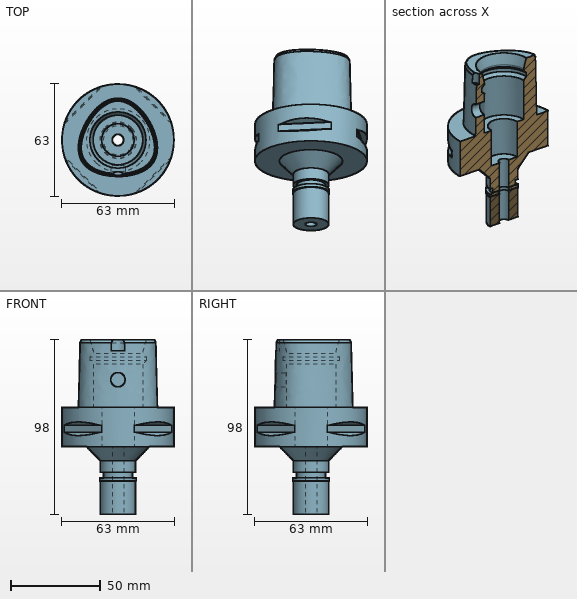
import cadquery as cq
import math

overall_height = 98.0
chamfer_start_z = 96.4
flange_top_z = 60.1
flange_bottom_z = 38.0
cone_bottom_z = 30.1
collar_bottom_z = 23.5
ring_top_z = 20.5
ring_bottom_z = 18.4

flange_diameter = 63.0
flange_radius = flange_diameter / 2
cone_top_radius = 17.7
pin_radius = 10.0
neck_radius = 8.2
ring_radius = 10.3
coolant_radius = 3.1
cone_mouth_radius = 15.8
bore_radius = 13.9
thread_radius = 9.1

ring_chamfer = ring_radius - pin_radius

shank_base_radius = 22.05
lobe_height = 1.5
taper_per_side = 1 / 40
rim_chamfer_width = 0.8
outline_points = 36

mouth_bottom_z = 91.7
groove_top_z = 90.4
groove_depth = 1.9
groove_height = 5.9
bore_floor_z = flange_top_z
thread_floor_z = flange_bottom_z

notch_radius = 4.9
notch_floor_y = -17.8
notch_bottom_z = 91.7
side_hole_radius = 4.0
side_hole_z = 75.6
side_hole_floor_y = -14.2

slot_count = 4
slot_first_angle = 45.0
slot_height = 4.1
slot_mid_z = 48.0
slot_floor_distance = 27.7
slot_ledge_distance = 28.4
slot_bevel_angle = 30.0


def lobed_wire(mean_radius, z):
    """Closed three-lobed outline at height z, starting in the middle of the flat side on -Y."""

    def point(angle):
        x = mean_radius * math.sin(angle) - lobe_height * math.sin(2 * angle)
        y = mean_radius * math.cos(angle) + lobe_height * math.cos(2 * angle)
        return cq.Vector(x, y, z)

    step = 2 * math.pi / outline_points
    points = [point(math.pi + index * step) for index in range(outline_points)]
    return cq.Wire.assembleEdges([cq.Edge.makeSpline(points, periodic=True)])


def make_shank():
    """Tapered lobed shank with a chamfered top rim."""
    chamfer_radius = shank_base_radius - taper_per_side * (chamfer_start_z - flange_top_z)
    base = lobed_wire(shank_base_radius, flange_top_z)
    chamfer_start = lobed_wire(chamfer_radius, chamfer_start_z)
    rim = lobed_wire(chamfer_radius - rim_chamfer_width, overall_height)
    taper = cq.Solid.makeLoft([base, chamfer_start], True)
    chamfer = cq.Solid.makeLoft([chamfer_start, rim], True)
    return cq.Workplane(taper).union(cq.Workplane(chamfer))


def make_flange_and_neck():
    """Turned flange, cone, collar and neck below the shank."""
    return (
        cq.Workplane("XZ")
        .moveTo(0, flange_top_z)
        .lineTo(flange_radius, flange_top_z)
        .lineTo(flange_radius, flange_bottom_z)
        .lineTo(cone_top_radius, flange_bottom_z)
        .lineTo(pin_radius, cone_bottom_z)
        .lineTo(pin_radius, collar_bottom_z)
        .lineTo(neck_radius, collar_bottom_z)
        .lineTo(neck_radius, ring_top_z)
        .lineTo(0, ring_top_z)
        .close()
        .revolve(360, (0, 0), (0, 1))
    )


def make_stepped_bore():
    """Turned hollow: tapered mouth, clamping groove, bore, thread bore and coolant hole."""
    groove_radius = bore_radius + groove_depth
    groove_bottom_z = groove_top_z - groove_height
    return (
        cq.Workplane("XZ")
        .moveTo(0, overall_height)
        .lineTo(cone_mouth_radius, overall_height)
        .lineTo(bore_radius, mouth_bottom_z)
        .lineTo(bore_radius, groove_top_z)
        .lineTo(groove_radius, groove_top_z - groove_depth)
        .lineTo(groove_radius, groove_bottom_z + groove_depth)
        .lineTo(bore_radius, groove_bottom_z)
        .lineTo(bore_radius, bore_floor_z)
        .lineTo(thread_radius, bore_floor_z)
        .lineTo(thread_radius, thread_floor_z)
        .lineTo(coolant_radius, thread_floor_z)
        .lineTo(coolant_radius, ring_top_z)
        .lineTo(0, ring_top_z)
        .close()
        .revolve(360, (0, 0), (0, 1))
    )


def make_notch():
    """Round-bottomed keyway open to the top rim."""
    return (
        cq.Workplane("XY", origin=(0, notch_floor_y - notch_radius, notch_bottom_z))
        .circle(notch_radius)
        .extrude(overall_height - notch_bottom_z)
    )


def make_side_hole():
    """Blind round hole entering the shank from -Y."""
    return (
        cq.Workplane("XZ", origin=(0, side_hole_floor_y, side_hole_z))
        .circle(side_hole_radius)
        .extrude(flange_radius + side_hole_floor_y)
    )


def make_gripper_slot(angle):
    """Straight slot across the flange: flat floor, short ledges, then bevels opening outward."""
    half_floor = slot_height / 2
    bevel_rise = (flange_radius - slot_ledge_distance) * math.tan(math.radians(slot_bevel_angle))
    half_mouth = half_floor + bevel_rise
    slot = (
        cq.Workplane("XZ", origin=(0, 0, slot_mid_z))
        .moveTo(slot_floor_distance, -half_floor)
        .lineTo(slot_ledge_distance, -half_floor)
        .lineTo(flange_radius, -half_mouth)
        .lineTo(flange_radius, half_mouth)
        .lineTo(slot_ledge_distance, half_floor)
        .lineTo(slot_floor_distance, half_floor)
        .close()
        .extrude(flange_radius, both=True)
    )
    return slot.rotate((0, 0, 0), (0, 0, 1), angle)


def make_holder():
    """Shank, flange and neck in one piece."""
    holder = make_flange_and_neck().union(make_shank())
    holder = holder.cut(make_stepped_bore())
    holder = holder.cut(make_notch())
    holder = holder.cut(make_side_hole())
    for index in range(slot_count):
        angle = slot_first_angle + index * 360 / slot_count
        holder = holder.cut(make_gripper_slot(angle))
    return holder


def make_ring():
    """Collar ring below the neck, chamfered down to the pin."""
    return (
        cq.Workplane("XY", origin=(0, 0, ring_bottom_z))
        .circle(ring_radius)
        .extrude(ring_top_z - ring_bottom_z)
        .faces("<Z")
        .chamfer(ring_chamfer)
        .faces(">Z")
        .workplane()
        .hole(2 * coolant_radius)
    )


def make_pin():
    """Hollow round pin below the ring."""
    return cq.Workplane("XY").circle(pin_radius).circle(coolant_radius).extrude(ring_bottom_z)


holder = make_holder()
ring = make_ring()
pin = make_pin()

result = cq.Compound.makeCompound([holder.solids().val(), ring.solids().val(), pin.val()])